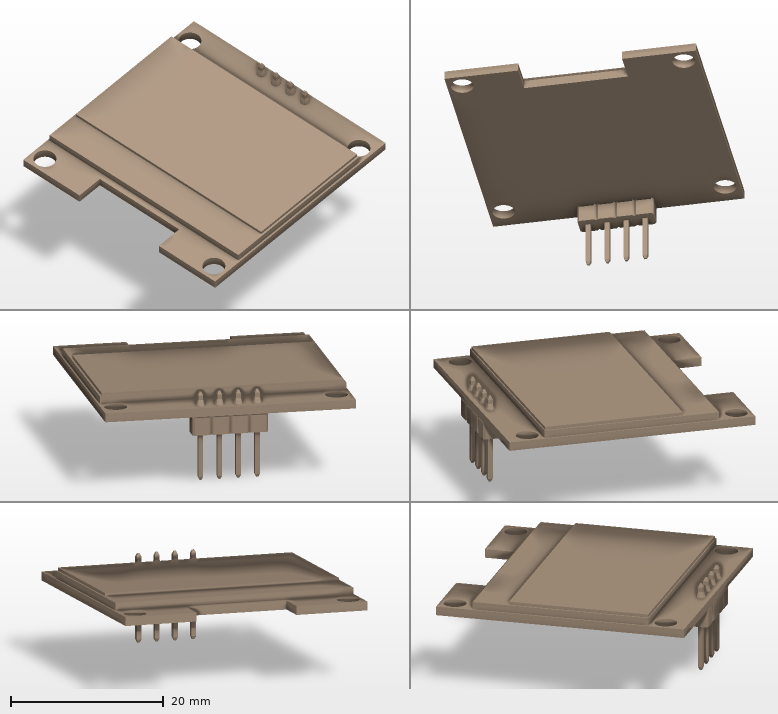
import cadquery as cq

BOARD_WIDTH = 33.5
BOARD_LENGTH = 33.7
BOARD_THICKNESS = 1.18
BOARD_TOP = 4.08
BOARD_BOTTOM = BOARD_TOP - BOARD_THICKNESS
MOUNT_HOLE_DIAMETER = 3.0
MOUNT_HOLE_X = 14.75
REAR_HOLE_Y = 13.82
FRONT_HOLE_Y = -14.83
NOTCH_WIDTH = 13.85
NOTCH_DEPTH = 4.0

GLASS_WIDTH = 32.95
GLASS_LENGTH = 23.9
GLASS_THICKNESS = 1.0
PANEL_WIDTH = 32.4
PANEL_LENGTH = 18.9
PANEL_REAR_SETBACK = 0.15
PANEL_THICKNESS = 0.4

PIN_COUNT = 4
PIN_PITCH = 2.53
PIN_Y = 15.55
PIN_WIDTH = 0.65
PIN_LENGTH = 11.93
PIN_TOP = PIN_LENGTH / 2
TIP_LENGTH = 0.45
TIP_WIDTH = 0.27
BLOCK_DEPTH = 2.53
BLOCK_HEIGHT = 2.53
BLOCK_CHAMFER = 0.27
BLOCK_SLOT_WIDTH = PIN_PITCH - 2 * BLOCK_CHAMFER
BLOCK_SLOT_DEPTH = 0.25
SOLDER_DIAMETER = 1.3
SOLDER_HEIGHT = 0.85

PIN_POSITIONS = [((i - (PIN_COUNT - 1) / 2) * PIN_PITCH, PIN_Y) for i in range(PIN_COUNT)]


def make_board():
    """Plate with four mounting holes, square pin holes and a notch in its front edge."""
    base = cq.Workplane("XY", origin=(0, 0, BOARD_BOTTOM))
    plate = base.rect(BOARD_WIDTH, BOARD_LENGTH).extrude(BOARD_THICKNESS)
    mount_points = [(x, y) for x in (-MOUNT_HOLE_X, MOUNT_HOLE_X) for y in (REAR_HOLE_Y, FRONT_HOLE_Y)]
    mount_holes = base.pushPoints(mount_points).circle(MOUNT_HOLE_DIAMETER / 2).extrude(BOARD_THICKNESS)
    pin_holes = base.pushPoints(PIN_POSITIONS).rect(PIN_WIDTH, PIN_WIDTH).extrude(BOARD_THICKNESS)
    notch = (
        base.center(0, -BOARD_LENGTH / 2)
        .rect(NOTCH_WIDTH, 2 * NOTCH_DEPTH)
        .extrude(BOARD_THICKNESS)
    )
    return plate.cut(mount_holes).cut(pin_holes).cut(notch)


def make_display():
    """Glass plate on the board with the shorter panel set back from its rear edge."""
    glass = (
        cq.Workplane("XY", origin=(0, 0, BOARD_TOP))
        .rect(GLASS_WIDTH, GLASS_LENGTH)
        .extrude(GLASS_THICKNESS)
    )
    panel_rear_y = GLASS_LENGTH / 2 - PANEL_REAR_SETBACK
    panel = (
        cq.Workplane("XY", origin=(0, panel_rear_y - PANEL_LENGTH / 2, BOARD_TOP + GLASS_THICKNESS))
        .rect(PANEL_WIDTH, PANEL_LENGTH)
        .extrude(PANEL_THICKNESS)
    )
    return glass.union(panel)


def make_tip(z, direction):
    """Tapered pin end that starts at height z and narrows upwards (1) or downwards (-1)."""
    return (
        cq.Workplane("XY", origin=(0, 0, z))
        .rect(PIN_WIDTH, PIN_WIDTH)
        .workplane(offset=direction * TIP_LENGTH)
        .rect(TIP_WIDTH, TIP_WIDTH)
        .loft(ruled=True)
    )


def make_block():
    """Insulator: chamfered upright block with a slot along Y under the board."""
    block = (
        cq.Workplane("XY", origin=(0, 0, BOARD_BOTTOM - BLOCK_HEIGHT))
        .rect(PIN_PITCH, BLOCK_DEPTH)
        .extrude(BLOCK_HEIGHT)
        .edges("|Z")
        .chamfer(BLOCK_CHAMFER)
    )
    slot = (
        cq.Workplane("XY", origin=(0, 0, BOARD_BOTTOM - BLOCK_SLOT_DEPTH))
        .rect(BLOCK_SLOT_WIDTH, BLOCK_DEPTH)
        .extrude(BLOCK_SLOT_DEPTH)
    )
    return block.cut(slot)


def make_solder():
    """Solder joint: round on the board, square where it meets the pin."""
    return (
        cq.Workplane("XY", origin=(0, 0, BOARD_TOP))
        .circle(SOLDER_DIAMETER / 2)
        .workplane(offset=SOLDER_HEIGHT)
        .rect(PIN_WIDTH, PIN_WIDTH)
        .loft(ruled=True)
    )


def make_header_pin():
    """One pin with its insulator block below the board and its solder joint above."""
    shaft_length = PIN_LENGTH - 2 * TIP_LENGTH
    shaft_bottom = PIN_TOP - PIN_LENGTH + TIP_LENGTH
    shaft = cq.Workplane("XY", origin=(0, 0, shaft_bottom)).rect(PIN_WIDTH, PIN_WIDTH).extrude(shaft_length)
    tips = make_tip(PIN_TOP - TIP_LENGTH, 1).union(make_tip(shaft_bottom, -1))
    return shaft.union(tips).union(make_block()).union(make_solder())


board = make_board()
display = make_display()
header_pins = [make_header_pin().translate((x, y, 0)) for x, y in PIN_POSITIONS]

result = cq.Compound.makeCompound([board.val(), display.val(), *[pin.val() for pin in header_pins]])